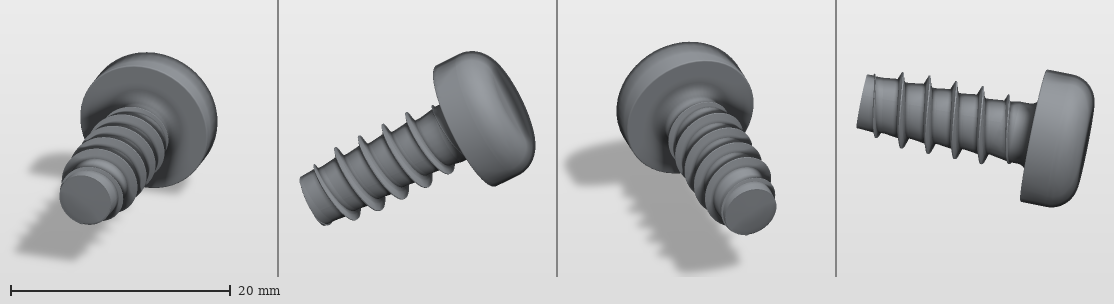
import cadquery as cq
import math


total_length = 20.9
head_radius = 6.152
head_height = 4.89
dome_radius = 2.47
rim_radius = 0.13
neck_radius = 2.8
neck_length = 1.73
neck_fillet = 0.92

core_radius = 2.49
neck_taper_length = 1.78
tip_radius = 2.35
tip_taper_length = 0.06
tip_cone_height = 0.06
shank_length = total_length - head_height
tip_edge_y = tip_cone_height - shank_length

crest_radius = 3.5
pitch = 2.473
first_full_crest_y = -4.25
first_turn = -1.5
full_turn_start = 0.0
full_turn_end = 3.25
last_turn = 4.75
lead_in_slope = 0.48
runout_height = 0.02
segment_turns = 0.25
segment_steps = 8

thread_height = crest_radius - core_radius
root_depth = 0.2
crest_width = 0.1
head_side_base = 0.52
head_side_waist = 0.25
waist_height = 0.31
tip_side_base = 0.35
apron_length = 1.88
apron_height = 0.19
apron_sink = 0.02


def make_body():
    """Revolve the head, neck and core about Y."""
    dome_mid = dome_radius * math.sqrt(0.5)
    dome_center_x = head_radius - dome_radius
    dome_center_y = head_height - dome_radius
    outline = (
        cq.Workplane("XY")
        .moveTo(0, head_height)
        .lineTo(dome_center_x, head_height)
        .threePointArc((dome_center_x + dome_mid, dome_center_y + dome_mid), (head_radius, dome_center_y))
        .lineTo(head_radius, rim_radius)
        .radiusArc((head_radius - rim_radius, 0), rim_radius)
        .lineTo(neck_radius + neck_fillet, 0)
        .radiusArc((neck_radius, -neck_fillet), -neck_fillet)
        .lineTo(neck_radius, -neck_length)
        .lineTo(core_radius, -neck_length - neck_taper_length)
        .lineTo(core_radius, tip_edge_y + tip_taper_length)
        .lineTo(tip_radius, tip_edge_y)
        .lineTo(0, -shank_length)
        .close()
    )
    return outline.revolve(360, (0, 0, 0), (0, 1, 0))


def height_share(turn):
    """Thread height at a turn as a share of full height, fading at both ends; ridge width fades with it."""
    if turn < full_turn_start:
        return 1 - lead_in_slope * (full_turn_start - turn)
    if turn > full_turn_end:
        runout = (turn - full_turn_end) / (last_turn - full_turn_end)
        return 1 - (1 - runout_height) * runout
    return 1


def thread_point(axial, height, turn):
    """Place a section corner (axial offset, height above core) at a turn."""
    share = height_share(turn)
    on_apron_edge = axial == -apron_length
    offset = axial if on_apron_edge else axial * share
    radius = core_radius + (height * share if height > 0 else height)
    angle = 2 * math.pi * turn
    y = first_full_crest_y - pitch * turn + offset
    return cq.Vector(radius * math.cos(angle), y, radius * math.sin(angle))


def make_thread():
    """Join helical section corners with ruled faces and cap both ends."""
    section = [
        (head_side_base, -root_depth),
        (head_side_waist, waist_height),
        (crest_width / 2, thread_height),
        (-crest_width / 2, thread_height),
        (-tip_side_base, apron_height),
        (-apron_length, -apron_sink),
        (-apron_length, -root_depth),
    ]
    faces = []
    for segment in range(round((last_turn - first_turn) / segment_turns)):
        start = first_turn + segment * segment_turns
        turns = [start + segment_turns * i / segment_steps for i in range(segment_steps + 1)]
        arcs = [cq.Edge.makeSpline([thread_point(*corner, t) for t in turns]) for corner in section]
        faces += [cq.Face.makeRuledSurface(a, b) for a, b in zip(arcs, arcs[1:] + arcs[:1])]
    for turn in (first_turn, last_turn):
        cap = cq.Wire.makePolygon([thread_point(*corner, turn) for corner in section], close=True)
        faces.append(cq.Face.makeFromWires(cap))
    thread = cq.Solid.makeSolid(cq.Shell.makeShell(faces))
    return cq.Workplane(thread.fix())


def make_shank_limit():
    """Cylinder that stops the thread flush with the edge of the tip."""
    return cq.Workplane("XZ").circle(head_radius).extrude(-tip_edge_y)


thread = make_thread().intersect(make_shank_limit())
result = make_body().union(thread)